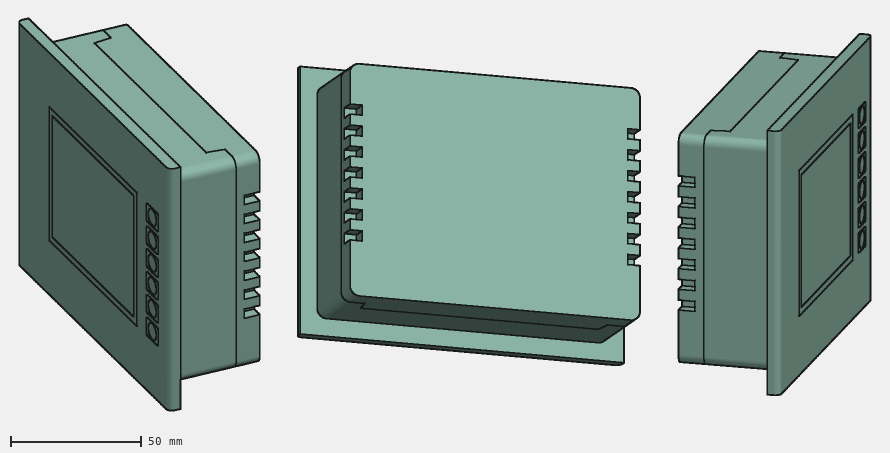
import cadquery as cq

bezel_width = 132.0
bezel_height = 106.0
bezel_thickness = 5.0
bezel_edge_radius = 2.5
total_depth = 42.35

case_width = 118.3
case_height = 92.0
case_corner_radius = 3.8

cover_depth = 10.2
tongue_depth = 17.75
tongue_root_width = 99.0
tongue_tip_width = 97.0

slot_count = 7
slot_pitch = 8.3
slot_height = 4.0
slot_reach_from_back = 6.65
slot_side_depth = 5.0
slot_row_center_z = 2.8

screen_width = 76.0
screen_height = 58.5
screen_thickness = 2.0
screen_border_width = 2.7
screen_recess_depth = 0.1

key_count = 6
key_pitch = 10.0
key_width = 10.3
key_height = 8.0
key_corner_radius = 1.0
key_disc_diameter = 7.0
key_center_x = 51.5
key_recess_depth = 0.1

front_y = 0.0
case_front_y = front_y + bezel_thickness
back_y = front_y + total_depth
cover_front_y = back_y - cover_depth
tongue_tip_y = back_y - tongue_depth


def box_between_y(width, height, y_start, y_end):
    """Box centred on X and Z that runs from y_start to y_end."""
    box = cq.Workplane("XY").box(width, y_end - y_start, height, centered=(True, False, True))
    return box.translate((0, y_start, 0))


def centered_positions(count, pitch, center):
    """Evenly spaced positions along Z around a centre."""
    first = center - (count - 1) * pitch / 2
    return [first + index * pitch for index in range(count)]


def key_recess(center_z):
    """Shallow rounded pocket that leaves a round island level with the bezel face."""
    pocket = box_between_y(key_width, key_height, front_y, front_y + key_recess_depth)
    pocket = pocket.edges("|Y").fillet(key_corner_radius)
    island = cq.Workplane("XZ").circle(key_disc_diameter / 2).extrude(-key_recess_depth)
    return pocket.cut(island).translate((key_center_x, 0, center_z))


def make_bezel():
    """Front plate with rounded side edges, a screen seat and a column of keys."""
    plate = box_between_y(bezel_width, bezel_height, front_y, case_front_y)
    plate = plate.edges("|Z and <Y").fillet(bezel_edge_radius)
    plate = plate.cut(box_between_y(screen_width, screen_height, front_y, front_y + screen_thickness))
    for center_z in centered_positions(key_count, key_pitch, 0):
        plate = plate.cut(key_recess(center_z))
    return plate


def make_screen():
    """Display panel set in the bezel, with a shallow viewing area inside a narrow border."""
    panel = box_between_y(screen_width, screen_height, front_y, front_y + screen_thickness)
    view_width = screen_width - 2 * screen_border_width
    view_height = screen_height - 2 * screen_border_width
    return panel.cut(box_between_y(view_width, view_height, front_y, front_y + screen_recess_depth))


def make_case():
    """Full rear block with rounded corners, before it is parted."""
    block = box_between_y(case_width, case_height, case_front_y, back_y)
    return block.edges("|Y").fillet(case_corner_radius)


def make_cover_region():
    """Space behind the parting line, with the wide tapered tongue that reaches forward."""
    outline = [
        (-case_width / 2, back_y),
        (-case_width / 2, cover_front_y),
        (-tongue_root_width / 2, cover_front_y),
        (-tongue_tip_width / 2, tongue_tip_y),
        (tongue_tip_width / 2, tongue_tip_y),
        (tongue_root_width / 2, cover_front_y),
        (case_width / 2, cover_front_y),
        (case_width / 2, back_y),
    ]
    return cq.Workplane("XY").polyline(outline).close().extrude(case_height / 2, both=True)


def make_housing():
    """Middle part of the case, between the bezel and the back cover."""
    return make_case().cut(make_cover_region())


def make_back_cover():
    """Rear part of the case, with ventilation slots open to the back and to both sides."""
    cover = make_case().intersect(make_cover_region())
    for center_z in centered_positions(slot_count, slot_pitch, slot_row_center_z):
        for side in (-1, 1):
            slot = box_between_y(slot_side_depth, slot_height, back_y - slot_reach_from_back, back_y)
            slot_center_x = side * (case_width - slot_side_depth) / 2
            cover = cover.cut(slot.translate((slot_center_x, 0, center_z)))
    return cover


bezel = make_bezel()
screen = make_screen()
housing = make_housing()
back_cover = make_back_cover()

result = cq.Compound.makeCompound([bezel.val(), screen.val(), housing.val(), back_cover.val()])